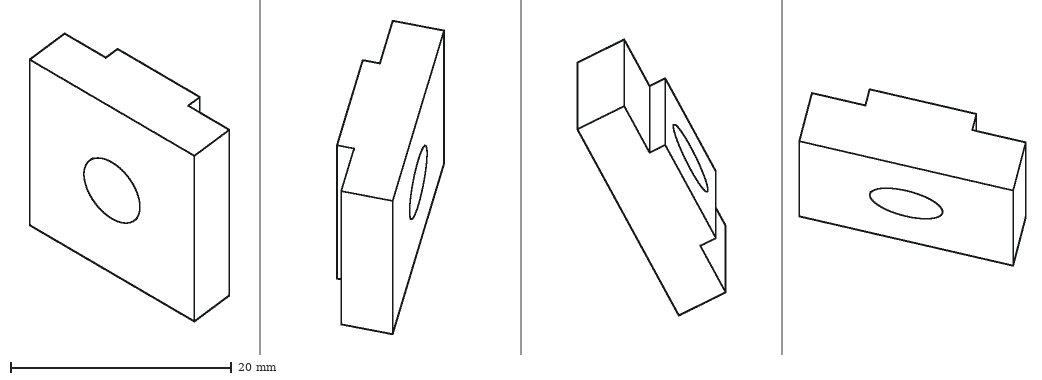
import cadquery as cq

side = 20.0
total_depth = 6.4
plate_depth = 4.8
tongue_width = side / 2
tongue_depth = total_depth - plate_depth
hole_diameter = 6.8

plate = cq.Workplane("XY").box(side, plate_depth, side, centered=(True, False, True))

tongue = (
    cq.Workplane("XY")
    .box(tongue_width, tongue_depth, side, centered=(True, False, True))
    .translate((0, plate_depth, 0))
)

hole = cq.Workplane("XZ").circle(hole_diameter / 2).extrude(-total_depth)

result = plate.union(tongue).cut(hole)